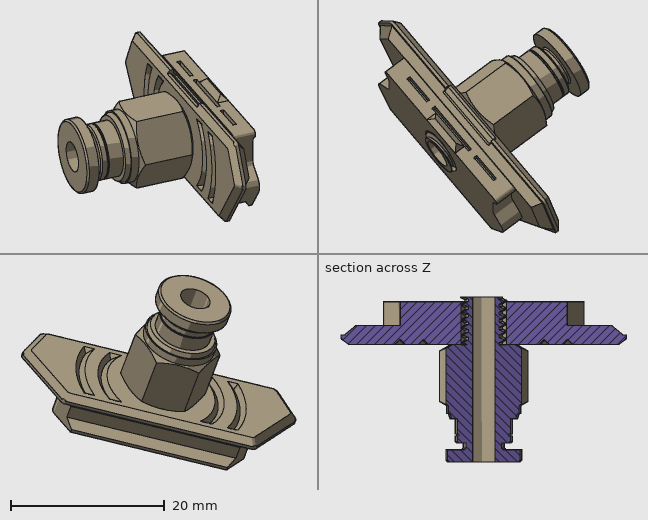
import cadquery as cq
import math


FLANGE_HALF_HEIGHT = 6.69
TIP_X = 18.735
TIP_Z = 1.34
TOP_HALF_WIDTH = 16.05
BOTTOM_HALF_WIDTH = 13.05
BEVEL_DEPTH = 0.8
BEVEL_INSET = 0.88
RIM_BACK_Y = 1.25
RIM_STEP = 0.47
FLANGE_BACK_Y = 2.48
CORNER_RADIUS = 0.75
SCREW_HOLE_DIAMETER = 6.45

GROOVE_INNER_RADII = (7.35, 10.35)
GROOVE_WIDTH = 1.25
GROOVE_DEPTH = GROOVE_WIDTH / 2
GROOVE_HALF_HEIGHT = 5.0

NOTCH_WIDTH = 9.5
NOTCH_X = -0.24
NOTCH_FRONT_Z = 6.24
NOTCH_LOW_Y = 1.4
NOTCH_LOW_Z = 5.72
NOTCH_BACK_Y = 1.75
NOTCH_BACK_Z = 5.8

BLOCK_BACK_Y = 5.6
BLOCK_HALF_HEIGHT = 5.2
BLOCK_BOTTOM_HALF_WIDTH = 11.51
RECESS_HALF_WIDTH = 10.9
RECESS_TOP_Z = 3.67
RECESS_BOTTOM_Z = -0.05
RECESS_WALL_ANGLE = 50.0
TOP_EDGE_RADIUS = 0.57
RECESS_RADIUS = 1.16
SIDE_RADIUS = 1.45

HOOK_BOTTOM_Z = -6.48
HOOK_TIP_Y = 5.15
HOOK_ROOT_Y = 4.31
WEDGE_LENGTH = 5.96
WEDGE_FRONT_Y = 4.04
WEDGE_HEIGHT = (BLOCK_BACK_Y - WEDGE_FRONT_Y) / 2
SLIT_FRONT_Y = 3.58
SLIT_BACK_Y = WEDGE_FRONT_Y
SLIT_DEPTH = 1.0
CENTER_SLIT_LENGTH = 7.6
SIDE_SLIT_LENGTH = 4.1
SIDE_SLIT_X = 7.0

BORE_DIAMETER = 4.0
SCREW_CORE_DIAMETER = 4.92
SCREW_END_Y = 6.2
THREAD_DIAMETER = 6.0
THREAD_PITCH = 1.0
THREAD_ROOT_WIDTH = 0.8
THREAD_CREST_WIDTH = 0.12
THREAD_START_ANGLE = 120.0
THREAD_EMBED = 0.1
HEX_SIDES = 6
HEX_ACROSS_FLATS = 10.0
HEX_SEAT_DIAMETER = 8.6
HEX_FRONT_Y = -7.95
HEX_CHAMFER_ANGLE = 30.0
COLLAR_DIAMETER = 9.7
COLLAR_FRONT_Y = -9.0
COLLAR_CONE_BACK_DIAMETER = 9.3
COLLAR_CONE_FRONT_DIAMETER = 8.8
COLLAR_CONE_FRONT_Y = -9.67
BARREL_DIAMETER = 7.5
BARREL_GROOVE_DIAMETER = 7.1
BARREL_GROOVE_BACK_Y = -11.68
BARREL_GROOVE_FRONT_Y = -11.9
BARREL_FRONT_Y = -12.83
BARREL_CHAMFER = 0.2
NECK_DIAMETER = 5.4
NECK_FLARE = 0.2
BUTTON_DIAMETER = 9.9
BUTTON_BACK_Y = -13.67
BUTTON_FRONT_Y = -15.3
BUTTON_CHAMFER = 0.25


def backward_plane(y):
    """Workplane at the given Y whose extrusions run toward +Y, with local y along Z."""
    return cq.Workplane(cq.Plane(origin=(0, y, 0), xDir=(-1, 0, 0), normal=(0, 1, 0)))


def forward_plane(y):
    """Workplane at the given Y whose extrusions run toward -Y, with local x, y along X, Z."""
    return cq.Workplane("XZ", origin=(0, y, 0))


def revolve_about_y(points):
    """Solid of revolution about the Y axis from (radius, y) points."""
    return cq.Workplane("XY").polyline(points).close().revolve(360, (0, 0, 0), (0, 1, 0))


def prism_along_x(points, length):
    """Prism centred on X = 0 from (y, z) points."""
    return cq.Workplane("YZ").polyline(points).close().extrude(length / 2, both=True)


def mirrored_outline(right_side):
    """Close an outline by adding the mirror image of its right side."""
    return right_side + [(-x, z) for x, z in reversed(right_side)]


def make_flange():
    """Six-sided plate with a front bevel, rounded corners and a stepped back taper."""
    outline = mirrored_outline([
        (TOP_HALF_WIDTH, FLANGE_HALF_HEIGHT),
        (TIP_X, TIP_Z),
        (BOTTOM_HALF_WIDTH, -FLANGE_HALF_HEIGHT),
    ])
    bevel_angle = math.degrees(math.atan2(BEVEL_INSET, BEVEL_DEPTH))
    rim = backward_plane(BEVEL_DEPTH).polyline(outline).close().extrude(RIM_BACK_Y - BEVEL_DEPTH)
    bevel = forward_plane(BEVEL_DEPTH).polyline(outline).close().extrude(BEVEL_DEPTH, taper=bevel_angle)
    front = rim.union(bevel).edges("not #Y").fillet(CORNER_RADIUS)
    back_taper = (
        backward_plane(RIM_BACK_Y)
        .polyline(outline)
        .close()
        .offset2D(-RIM_STEP, "intersection")
        .extrude(FLANGE_BACK_Y - RIM_BACK_Y, taper=45)
    )
    return front.union(back_taper)


def make_grooves():
    """Arc grooves of V section, with 45 degree end walls above and below."""
    limits = prism_along_x([
        (0, GROOVE_HALF_HEIGHT),
        (GROOVE_DEPTH, GROOVE_HALF_HEIGHT - GROOVE_DEPTH),
        (GROOVE_DEPTH, GROOVE_DEPTH - GROOVE_HALF_HEIGHT),
        (0, -GROOVE_HALF_HEIGHT),
    ], 2 * TIP_X)
    grooves = cq.Workplane("XY")
    for inner_radius in GROOVE_INNER_RADII:
        ring = revolve_about_y([
            (inner_radius, 0),
            (inner_radius + GROOVE_WIDTH / 2, GROOVE_DEPTH),
            (inner_radius + GROOVE_WIDTH, 0),
        ])
        grooves = grooves.add(ring.intersect(limits))
    return grooves.combine()


def make_notch():
    """Sloping notch, open at the top, that reaches into the back taper."""
    above = 2 * FLANGE_HALF_HEIGHT
    return prism_along_x([
        (0, above),
        (0, NOTCH_FRONT_Z),
        (BEVEL_DEPTH, NOTCH_FRONT_Z),
        (NOTCH_LOW_Y, NOTCH_LOW_Z),
        (NOTCH_BACK_Y, NOTCH_BACK_Z),
        (NOTCH_BACK_Y, above),
    ], NOTCH_WIDTH).translate((NOTCH_X, 0, 0))


def make_block():
    """Block with a flared recess in each end and a full-width hook below."""
    wall_run = math.tan(math.radians(RECESS_WALL_ANGLE))
    side_run = (TIP_X - BOTTOM_HALF_WIDTH) / (TIP_Z + FLANGE_HALF_HEIGHT)

    top_x = RECESS_HALF_WIDTH + (BLOCK_HALF_HEIGHT - RECESS_TOP_Z) * wall_run
    side_rise = (
        RECESS_HALF_WIDTH - BLOCK_BOTTOM_HALF_WIDTH + (RECESS_BOTTOM_Z + BLOCK_HALF_HEIGHT) * wall_run
    ) / (side_run + wall_run)
    side_x = BLOCK_BOTTOM_HALF_WIDTH + side_rise * side_run
    side_z = side_rise - BLOCK_HALF_HEIGHT
    hook_x = BLOCK_BOTTOM_HALF_WIDTH + (HOOK_BOTTOM_Z + BLOCK_HALF_HEIGHT) * side_run

    corners = [
        (top_x, BLOCK_HALF_HEIGHT, TOP_EDGE_RADIUS),
        (RECESS_HALF_WIDTH, RECESS_TOP_Z, RECESS_RADIUS),
        (RECESS_HALF_WIDTH, RECESS_BOTTOM_Z, RECESS_RADIUS),
        (side_x, side_z, SIDE_RADIUS),
    ]
    outline = mirrored_outline([(x, z) for x, z, _ in corners] + [(hook_x, HOOK_BOTTOM_Z)])
    block = backward_plane(FLANGE_BACK_Y).polyline(outline).close().extrude(BLOCK_BACK_Y - FLANGE_BACK_Y)
    middle_y = (FLANGE_BACK_Y + BLOCK_BACK_Y) / 2
    for x, z, radius in corners:
        for side in (-1, 1):
            block = block.edges(cq.NearestToPointSelector((side * x, middle_y, z))).fillet(radius)

    hook_clearance = prism_along_x([
        (FLANGE_BACK_Y, -BLOCK_HALF_HEIGHT),
        (HOOK_ROOT_Y, -BLOCK_HALF_HEIGHT),
        (HOOK_TIP_Y, HOOK_BOTTOM_Z),
        (FLANGE_BACK_Y, HOOK_BOTTOM_Z),
    ], 2 * TIP_X)
    return block.cut(hook_clearance)


def make_wedge():
    """Hipped snap ridge on top of the block."""
    ridge_y = (WEDGE_FRONT_Y + BLOCK_BACK_Y) / 2
    base_z = BLOCK_HALF_HEIGHT
    ridge = prism_along_x([
        (WEDGE_FRONT_Y, base_z),
        (ridge_y, base_z + WEDGE_HEIGHT),
        (BLOCK_BACK_Y, base_z),
    ], WEDGE_LENGTH)
    hips = (
        forward_plane(BLOCK_BACK_Y)
        .polyline(mirrored_outline([
            (WEDGE_LENGTH / 2 - WEDGE_HEIGHT, base_z + WEDGE_HEIGHT),
            (WEDGE_LENGTH / 2, base_z),
        ]))
        .close()
        .extrude(BLOCK_BACK_Y - WEDGE_FRONT_Y)
    )
    return ridge.intersect(hips)


def make_slits():
    slits = cq.Workplane("XY")
    width = SLIT_BACK_Y - SLIT_FRONT_Y
    middle_y = (SLIT_FRONT_Y + SLIT_BACK_Y) / 2
    for x, length in (
        (-SIDE_SLIT_X, SIDE_SLIT_LENGTH),
        (0, CENTER_SLIT_LENGTH),
        (SIDE_SLIT_X, SIDE_SLIT_LENGTH),
    ):
        slit = cq.Workplane("XY").box(length, width, 2 * SLIT_DEPTH)
        slits = slits.add(slit.translate((x, middle_y, BLOCK_HALF_HEIGHT)))
    return slits.combine()


def make_mount():
    screw_hole = backward_plane(0).circle(SCREW_HOLE_DIAMETER / 2).extrude(BLOCK_BACK_Y)
    return (
        make_flange()
        .union(make_block())
        .cut(make_slits())
        .union(make_wedge())
        .cut(make_grooves())
        .cut(make_notch())
        .cut(screw_hole)
    )


def make_hex():
    """Hexagon with conical chamfers on the corners at both ends."""
    corner_diameter = HEX_ACROSS_FLATS / math.cos(math.pi / HEX_SIDES)
    corner_radius = corner_diameter / 2
    slope = math.tan(math.radians(HEX_CHAMFER_ANGLE))
    seat_radius = HEX_SEAT_DIAMETER / 2
    collar_radius = COLLAR_DIAMETER / 2
    envelope = revolve_about_y([
        (0, 0),
        (seat_radius, 0),
        (corner_radius, -(corner_radius - seat_radius) * slope),
        (corner_radius, HEX_FRONT_Y + (corner_radius - collar_radius) * slope),
        (collar_radius, HEX_FRONT_Y),
        (0, HEX_FRONT_Y),
    ])
    return forward_plane(0).polygon(HEX_SIDES, corner_diameter).extrude(-HEX_FRONT_Y).intersect(envelope)


def make_stem():
    """Collar, grooved barrel, neck and release button in front of the hexagon."""
    profile = [
        (COLLAR_DIAMETER, HEX_FRONT_Y),
        (COLLAR_DIAMETER, COLLAR_FRONT_Y),
        (COLLAR_CONE_BACK_DIAMETER, COLLAR_FRONT_Y),
        (COLLAR_CONE_FRONT_DIAMETER, COLLAR_CONE_FRONT_Y),
        (BARREL_DIAMETER, COLLAR_CONE_FRONT_Y),
        (BARREL_DIAMETER, BARREL_GROOVE_BACK_Y),
        (BARREL_GROOVE_DIAMETER, BARREL_GROOVE_BACK_Y),
        (BARREL_GROOVE_DIAMETER, BARREL_GROOVE_FRONT_Y),
        (BARREL_DIAMETER, BARREL_GROOVE_FRONT_Y),
        (BARREL_DIAMETER, BARREL_FRONT_Y + BARREL_CHAMFER),
        (BARREL_DIAMETER - 2 * BARREL_CHAMFER, BARREL_FRONT_Y),
        (NECK_DIAMETER, BARREL_FRONT_Y),
        (NECK_DIAMETER, BUTTON_BACK_Y + NECK_FLARE),
        (NECK_DIAMETER + 2 * NECK_FLARE, BUTTON_BACK_Y),
        (BUTTON_DIAMETER, BUTTON_BACK_Y),
        (BUTTON_DIAMETER, BUTTON_FRONT_Y + BUTTON_CHAMFER),
        (BUTTON_DIAMETER - 2 * BUTTON_CHAMFER, BUTTON_FRONT_Y),
    ]
    points = [(diameter / 2, y) for diameter, y in profile]
    return revolve_about_y([(0, HEX_FRONT_Y)] + points + [(0, BUTTON_FRONT_Y)])


def make_screw():
    """Threaded core: a trapezoidal ridge swept along a helix and trimmed flat at the end."""
    core_radius = SCREW_CORE_DIAMETER / 2
    crest_radius = THREAD_DIAMETER / 2
    root_radius = core_radius - THREAD_EMBED
    helix = cq.Wire.makeHelix(THREAD_PITCH, SCREW_END_Y + THREAD_PITCH, core_radius)
    ridge = (
        cq.Workplane("XZ")
        .polyline([
            (root_radius, -THREAD_ROOT_WIDTH / 2),
            (crest_radius, -THREAD_CREST_WIDTH / 2),
            (crest_radius, THREAD_CREST_WIDTH / 2),
            (root_radius, THREAD_ROOT_WIDTH / 2),
        ])
        .close()
        .sweep(cq.Workplane("XY").add(helix), isFrenet=True)
        .rotate((0, 0, 0), (1, 0, 0), -90)
        .rotate((0, 0, 0), (0, 1, 0), THREAD_START_ANGLE)
    )
    limits = backward_plane(0).circle(THREAD_DIAMETER).extrude(SCREW_END_Y)
    core = backward_plane(0).circle(core_radius).extrude(SCREW_END_Y)
    return core.union(ridge.intersect(limits))


def make_fitting():
    length = SCREW_END_Y - BUTTON_FRONT_Y
    bore = backward_plane(BUTTON_FRONT_Y).circle(BORE_DIAMETER / 2).extrude(length)
    return make_hex().union(make_stem()).union(make_screw()).cut(bore)


mount = make_mount()
fitting = make_fitting()

result = cq.Compound.makeCompound([mount.solids().val(), fitting.solids().val()])